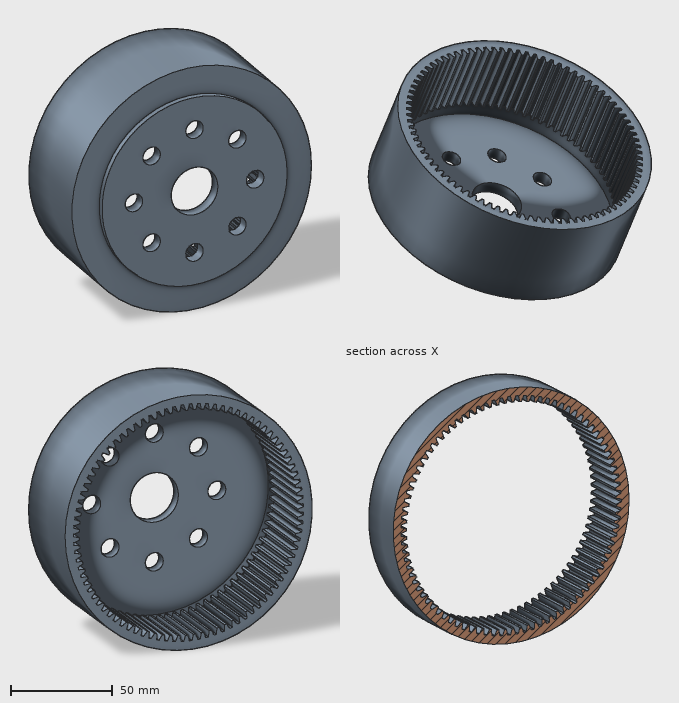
import cadquery as cq
import math

outer_radius = 65.3
body_length = 49.3
boss_radius = 50.5
boss_length = 3.3
floor_thickness = 6.4

tooth_count = 87
root_radius = 60.8
tip_radius = 57.8
relief_radius = 60.2
tooth_length = 38.2
gap_share_at_root = 0.28
gap_share_at_tip = 0.72

center_hole_radius = 12.7
bolt_hole_radius = 4.7
bolt_circle_radius = 33.0
bolt_count = 8

total_length = body_length + boss_length
floor_position = total_length - floor_thickness


def polar(radius, angle):
    """Point in the YZ plane at an angle measured from +Y towards +Z."""
    return (radius * math.cos(angle), radius * math.sin(angle))


def disk(start, length, radius):
    """Cylinder on the X axis beginning at X = start."""
    return cq.Workplane("YZ", origin=(start, 0, 0)).circle(radius).extrude(length)


def toothed_bore():
    """Bore of the internal gear: one gap per pitch, the first centred on +Y."""
    pitch = 2 * math.pi / tooth_count
    root_half = gap_share_at_root * pitch / 2
    tip_half = gap_share_at_tip * pitch / 2
    outline = cq.Workplane("YZ").moveTo(*polar(tip_radius, -tip_half))
    for index in range(tooth_count):
        middle = index * pitch
        outline = (
            outline
            .lineTo(*polar(root_radius, middle - root_half))
            .threePointArc(polar(root_radius, middle), polar(root_radius, middle + root_half))
            .lineTo(*polar(tip_radius, middle + tip_half))
            .threePointArc(
                polar(tip_radius, middle + pitch / 2),
                polar(tip_radius, middle + pitch - tip_half),
            )
        )
    return outline.close().extrude(tooth_length)


def floor_holes():
    """Central hole and the ring of bolt holes, all running through the floor and boss."""
    holes = disk(0, total_length, center_hole_radius)
    bolts = (
        cq.Workplane("YZ")
        .polarArray(bolt_circle_radius, 0, 360, bolt_count)
        .circle(bolt_hole_radius)
        .extrude(total_length)
    )
    return holes.union(bolts)


body = disk(0, body_length, outer_radius)
boss = disk(body_length, boss_length, boss_radius)

relief = disk(tooth_length, floor_position - tooth_length, relief_radius)

result = body.union(boss).cut(toothed_bore()).cut(relief).cut(floor_holes())